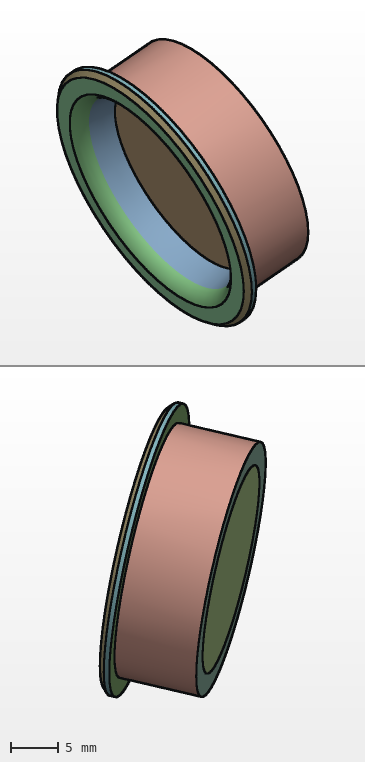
import cadquery as cq

flange_diameter = 32.0
flange_thickness = 1.2
flange_chamfer = 0.6
barrel_diameter = 27.8
total_depth = 10.2
mouth_diameter = 26.6
floor_diameter = 22.72
floor_depth = 4.65
throat_diameter = 24.1
throat_depth = 1.65

flange_radius = flange_diameter / 2
barrel_radius = barrel_diameter / 2
mouth_radius = mouth_diameter / 2
floor_radius = floor_diameter / 2
throat_radius = throat_diameter / 2


def make_housing():
    """Flanged ring with a rounded lip tangent to its tapered wall; a plain bore behind holds the disc."""
    profile = (
        cq.Workplane("XY")
        .moveTo(mouth_radius, 0)
        .lineTo(flange_radius - flange_chamfer, 0)
        .lineTo(flange_radius, flange_chamfer)
        .lineTo(flange_radius, flange_thickness)
        .lineTo(barrel_radius, flange_thickness)
        .lineTo(barrel_radius, total_depth)
        .lineTo(floor_radius, total_depth)
        .lineTo(floor_radius, floor_depth)
        .lineTo(throat_radius, throat_depth)
        .tangentArcPoint((mouth_radius, 0), relative=False)
        .close()
    )
    return profile.revolve(360, (0, 0, 0), (0, 1, 0))


def make_disc():
    """Plain round insert that forms the floor of the recess and ends flush with the back."""
    profile = (
        cq.Workplane("XY")
        .moveTo(0, floor_depth)
        .lineTo(floor_radius, floor_depth)
        .lineTo(floor_radius, total_depth)
        .lineTo(0, total_depth)
        .close()
    )
    return profile.revolve(360, (0, 0, 0), (0, 1, 0))


housing = make_housing()
disc = make_disc()

result = cq.Compound.makeCompound([housing.val(), disc.val()])